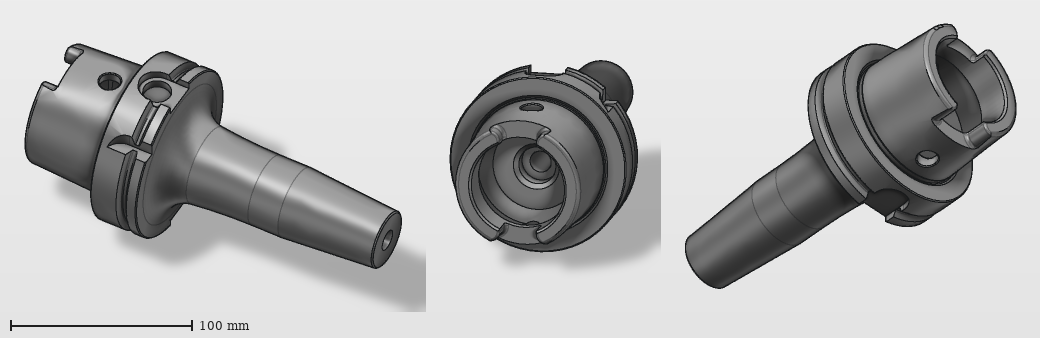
import cadquery as cq
import math

total_length = 210.0
relief_start = 47.7
relief_end = 48.3
flange_back = 50.0
flange_front = 79.0
fillet_end = 95.8
shank_start = 133.5
nose_start = 152.5

taper_base_r = 37.8
taper_rate = 0.05
relief_r = 37.5
taper_edge_r = 2.0
relief_ring_r = 38.5
relief_mouth_r = 39.7
relief_depth = 0.8

flange_r = 50.0
flange_chamfer = 0.6
groove_floor_r = 46.2
groove_floor_start = 68.0
groove_floor_width = 3.0
groove_fillet_r = 0.8
groove_half_angle = math.radians(25)

neck_r = 23.0
shank_r = 21.0
nose_end_r = 17.0
nose_chamfer = 0.8

mouth_r = 26.5
mouth_chamfer = 1.3
mouth_depth = 19.3
undercut_r = 31.5
bore_floor = 46.2
floor_seat_r = 24.5
counterbore_r = 10.5
counterbore_depth = 10.5
counterbore_mouth_r = 13.0
coolant_r = 5.98

drive_width = 20.8
drive_depth_top = 9.9
drive_depth_bottom = 15.0
drive_step_z = 31.5
drive_flare_r = 5.5
drive_floor_r = 1.9
drive_edge_r = 1.3

cross_hole_x = 34.9
cross_hole_r = 5.98
cross_hole_chamfer = 0.6

slot_r = 10.5
slot_x = 64.7
slot_floor_z = 44.5
chip_hole_r = 8.0
chip_hole_depth = 5.0
notch_wall_y = -31.7
notch_floor_z = 31.3

clearance = 2.0
match_margin = 0.02


def revolve_about_x(profile):
    return profile.close().revolve(360, (0, 0, 0), (1, 0, 0))


def taper_radius(x):
    return taper_base_r - taper_rate * (relief_start - x)


def make_body():
    """Solid of revolution: taper shank, grooved flange, neck and nose."""
    groove_run = (flange_r - groove_floor_r) * math.tan(groove_half_angle)
    groove_floor_end = groove_floor_start + groove_floor_width

    neck_run = shank_start - fillet_end
    neck_rise = neck_r - shank_r
    neck_arc_r = (neck_run**2 + neck_rise**2) / (2 * neck_rise)
    neck_angle = math.asin(neck_run / neck_arc_r)
    neck_mid = (
        shank_start - neck_arc_r * math.sin(neck_angle / 2),
        shank_r + neck_arc_r * (1 - math.cos(neck_angle / 2)),
    )

    fillet_r = (fillet_end - flange_front) / (1 - math.sin(neck_angle))
    fillet_center_x = flange_front + fillet_r
    fillet_center_r = neck_r + fillet_r * math.cos(neck_angle)
    mid_angle = (math.pi / 2 + neck_angle) / 2
    fillet_mid = (
        fillet_center_x - fillet_r * math.sin(mid_angle),
        fillet_center_r - fillet_r * math.cos(mid_angle),
    )

    profile = (
        cq.Workplane("XY")
        .lineTo(0, taper_radius(0))
        .lineTo(relief_start, taper_base_r)
        .lineTo(relief_end, relief_r)
        .lineTo(flange_back + relief_depth, relief_r)
        .lineTo(flange_back + relief_depth, relief_ring_r)
        .lineTo(flange_back, relief_mouth_r)
        .lineTo(flange_back, flange_r - flange_chamfer)
        .lineTo(flange_back + flange_chamfer, flange_r)
        .lineTo(groove_floor_start - groove_run, flange_r)
        .lineTo(groove_floor_start, groove_floor_r)
        .lineTo(groove_floor_end, groove_floor_r)
        .lineTo(groove_floor_end + groove_run, flange_r)
        .lineTo(flange_front - flange_chamfer, flange_r)
        .lineTo(flange_front, flange_r - flange_chamfer)
        .lineTo(flange_front, fillet_center_r)
        .threePointArc(fillet_mid, (fillet_end, neck_r))
        .threePointArc(neck_mid, (shank_start, shank_r))
        .lineTo(nose_start, shank_r)
        .lineTo(total_length - nose_chamfer, nose_end_r)
        .lineTo(total_length, nose_end_r - nose_chamfer)
        .lineTo(total_length, 0)
    )
    return revolve_about_x(profile)


def make_bore():
    """Stepped bore: clamping mouth, undercut, counterbore and through hole."""
    seat_run = undercut_r - floor_seat_r
    counterbore_floor = bore_floor + counterbore_depth
    counterbore_chamfer = counterbore_mouth_r - counterbore_r
    profile = (
        cq.Workplane("XY")
        .lineTo(0, mouth_r + mouth_chamfer)
        .lineTo(mouth_chamfer, mouth_r)
        .lineTo(mouth_depth, mouth_r)
        .lineTo(mouth_depth, undercut_r)
        .lineTo(bore_floor - seat_run, undercut_r)
        .lineTo(bore_floor, floor_seat_r)
        .lineTo(bore_floor, counterbore_mouth_r)
        .lineTo(bore_floor + counterbore_chamfer, counterbore_r)
        .lineTo(counterbore_floor, counterbore_r)
        .lineTo(counterbore_floor, coolant_r)
        .lineTo(total_length, coolant_r)
        .lineTo(total_length, 0)
    )
    return revolve_about_x(profile)


def make_drive_slot(depth):
    """Slot with flared shoulders, open toward +Z and toward the end of the taper."""
    half = drive_width / 2
    outside = taper_base_r + clearance
    flare_z = drive_step_z - drive_flare_r
    bend = drive_flare_r * (1 - math.sqrt(0.5))
    return (
        cq.Workplane("YZ")
        .workplane(offset=-drive_floor_r)
        .moveTo(-half, 0)
        .lineTo(half, 0)
        .lineTo(half, flare_z)
        .threePointArc((half + bend, drive_step_z - bend), (half + drive_flare_r, drive_step_z))
        .lineTo(outside, drive_step_z)
        .lineTo(outside, outside)
        .lineTo(-outside, outside)
        .lineTo(-outside, drive_step_z)
        .lineTo(-half - drive_flare_r, drive_step_z)
        .threePointArc((-half - bend, drive_step_z - bend), (-half, flare_z))
        .close()
        .extrude(depth + drive_floor_r)
        .faces(">X")
        .edges()
        .fillet(drive_floor_r)
    )


def make_flange_slot(center_y, floor_z):
    """Round-ended slot running out through the front face of the flange."""
    run = flange_front - slot_x
    height = flange_r - floor_z + clearance
    round_end = cq.Workplane("XY", origin=(slot_x, center_y, floor_z)).circle(slot_r).extrude(height)
    straight = (
        cq.Workplane("XY", origin=(slot_x + run / 2, center_y, floor_z))
        .rect(run, 2 * slot_r)
        .extrude(height)
    )
    return round_end.union(straight)


def make_chip_hole():
    floor = slot_floor_z - chip_hole_depth
    return (
        cq.Workplane("XY", origin=(slot_x, 0, floor))
        .circle(chip_hole_r)
        .extrude(flange_r - floor)
    )


def turn_to_underside(cutter):
    return cutter.rotate((0, 0, 0), (1, 0, 0), 180)


def make_rim_rounding():
    """Ring that leaves a rounded rim around the open end of the taper."""
    rim_r = taper_radius(taper_edge_r)
    bend = taper_edge_r * (1 - math.sqrt(0.5))
    profile = (
        cq.Workplane("XY")
        .moveTo(0, rim_r - taper_edge_r)
        .threePointArc((bend, rim_r - bend), (taper_edge_r, rim_r))
        .lineTo(taper_edge_r, taper_base_r)
        .lineTo(0, taper_base_r)
    )
    return revolve_about_x(profile)


def is_slot_rim(edge):
    """Edges of the drive slots that lie on the end face of the taper."""
    on_end_face = edge.BoundingBox().xmax < match_margin
    around_axis = edge.geomType() == "CIRCLE" and edge.radius() > mouth_r
    return on_end_face and not around_axis


def is_cross_hole_rim(edge):
    """Edges where the cross hole meets the outside of the taper."""
    box = edge.BoundingBox()
    spans_hole = all(abs(span - 2 * cross_hole_r) < match_margin for span in (box.xlen, box.ylen))
    return spans_hole and abs(edge.Center().z) > undercut_r


def is_groove_corner(edge):
    """Edges at both sides of the V groove floor."""
    return edge.geomType() == "CIRCLE" and abs(edge.radius() - groove_floor_r) < match_margin


result = make_body()
result = result.edges().filter(is_groove_corner).fillet(groove_fillet_r)

result = result.cut(make_drive_slot(drive_depth_top))
result = result.cut(turn_to_underside(make_drive_slot(drive_depth_bottom)))
result = result.edges().filter(is_slot_rim).fillet(drive_edge_r)
result = result.cut(make_rim_rounding())
result = result.cut(make_bore())

cross_hole = (
    cq.Workplane("XY", origin=(cross_hole_x, 0, -flange_r))
    .circle(cross_hole_r)
    .extrude(2 * flange_r)
)
result = result.cut(cross_hole)
result = result.edges().filter(is_cross_hole_rim).chamfer(cross_hole_chamfer)

flange_slot = make_flange_slot(0, slot_floor_z)
result = result.cut(flange_slot)
result = result.cut(turn_to_underside(flange_slot))
result = result.cut(make_chip_hole())
result = result.cut(make_flange_slot(notch_wall_y - slot_r, notch_floor_z))